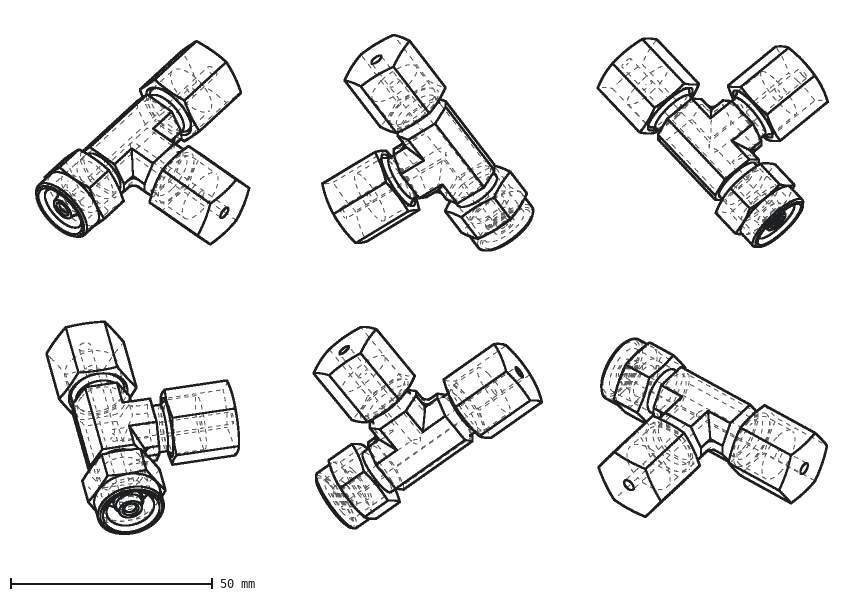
import cadquery as cq
import math


PASSAGE_RADIUS = 1.5

BLOCK_ACROSS_FLATS = 14.0
BLOCK_ACROSS_CUT_EDGES = 14.4
BLOCK_REACH = 11.0
BLOCK_REACH_SWIVEL = 10.55
BLOCK_CORNER_FILLET = 1.85

RELIEF_RADIUS = 5.85
RELIEF_FILLET = 0.5
RUNOUT_START = 13.55
RUNOUT_ANGLE = 30
THREAD_RADIUS = 6.8
THREAD_END = 23.0

NUT_ACROSS_FLATS = 17.0
NUT_FACE_RADIUS = 8.45
NUT_CHAMFER_HEIGHT = 0.35
UNION_NUT_START = 14.5
UNION_NUT_END = 31.0
UNION_NUT_MOUTH_CHAMFER = 0.65
SWIVEL_NUT_START = 13.3
SWIVEL_HEX_END = 21.35
SWIVEL_NUT_END = 26.4
COLLAR_RADIUS = 8.4
COLLAR_CHAMFER = 0.5
SWIVEL_MOUTH_CHAMFER = 1.15

NECK_RADIUS = 6.0
NIPPLE_TIP_RADIUS = 2.85
NIPPLE_TIP = 25.55
CONE_BASE_RADIUS = 4.25
CONE_HALF_ANGLE = 12
CONE_BASE = NIPPLE_TIP - (CONE_BASE_RADIUS - NIPPLE_TIP_RADIUS) / math.tan(math.radians(CONE_HALF_ANGLE))
PASSAGE_CHAMFER = 0.5

RING_CENTRE_RADIUS = 3.05
RING_SECTION_RADIUS = 0.75
RING_STATION = 22.85


def toward_plus_y(shape):
    return shape.rotate((0, 0, 0), (1, 0, 0), -90)


def toward_minus_y(shape):
    return shape.rotate((0, 0, 0), (1, 0, 0), 90)


def toward_plus_x(shape):
    return toward_plus_y(shape).rotate((0, 0, 0), (0, 0, 1), -90)


def turned(profile):
    """Solid of revolution about Z from (radius, height) points."""
    return cq.Workplane("XZ").polyline(profile).close().revolve(360, (0, 0, 0), (0, 1, 0))


def rod(radius, start, end):
    return cq.Workplane("XY").workplane(offset=start).circle(radius).extrude(end - start)


def countersink(radius, chamfer, mouth, outward=1):
    """45 degree cutter that widens a hole at its mouth; outward is +1 or -1 along Z."""
    bottom = mouth - outward * chamfer
    return turned([(0, bottom), (radius, bottom), (radius + chamfer, mouth), (0, mouth)])


def hexagon_bar(across_flats, start, end):
    """Hexagonal bar along Z with its corners on the X axis."""
    corner_diameter = across_flats / math.cos(math.pi / 6)
    return cq.Workplane("XY").workplane(offset=start).polygon(6, corner_diameter).extrude(end - start)


def block_bar(start, end):
    flat_sides = cq.Workplane("XY").workplane(offset=start).rect(BLOCK_ACROSS_CUT_EDGES, BLOCK_ACROSS_FLATS)
    return hexagon_bar(BLOCK_ACROSS_FLATS, start, end).intersect(flat_sides.extrude(end - start))


def chamfered_hexagon(start, end):
    """Nut hexagon whose corners are turned down to a round face at both ends."""
    corner_radius = NUT_ACROSS_FLATS / 2 / math.cos(math.pi / 6)
    envelope = turned([
        (0, start),
        (NUT_FACE_RADIUS, start),
        (corner_radius, start + NUT_CHAMFER_HEIGHT),
        (corner_radius, end - NUT_CHAMFER_HEIGHT),
        (NUT_FACE_RADIUS, end),
        (0, end),
    ])
    return hexagon_bar(NUT_ACROSS_FLATS, start, end).intersect(envelope)


def threaded_end():
    """Relief groove, thread runout cone and thread of one union arm."""
    runout_length = (THREAD_RADIUS - RELIEF_RADIUS) / math.tan(math.radians(RUNOUT_ANGLE))
    arc_step = RELIEF_FILLET * (1 - math.sqrt(0.5))
    profile = (
        cq.Workplane("XZ")
        .moveTo(0, 0)
        .lineTo(RELIEF_RADIUS + RELIEF_FILLET, 0)
        .lineTo(RELIEF_RADIUS + RELIEF_FILLET, BLOCK_REACH)
        .threePointArc(
            (RELIEF_RADIUS + arc_step, BLOCK_REACH + arc_step),
            (RELIEF_RADIUS, BLOCK_REACH + RELIEF_FILLET),
        )
        .lineTo(RELIEF_RADIUS, RUNOUT_START)
        .lineTo(THREAD_RADIUS, RUNOUT_START + runout_length)
        .lineTo(THREAD_RADIUS, THREAD_END)
        .lineTo(0, THREAD_END)
        .close()
    )
    return profile.revolve(360, (0, 0, 0), (0, 1, 0))


def o_ring():
    section = cq.Workplane("XZ").center(RING_CENTRE_RADIUS, RING_STATION).circle(RING_SECTION_RADIUS)
    return section.revolve(360, (-RING_CENTRE_RADIUS, 0, 0), (-RING_CENTRE_RADIUS, 1, 0))


def nipple():
    """Neck and sealing cone, with the groove that seats the O-ring."""
    body = turned([
        (0, 0),
        (NECK_RADIUS, 0),
        (NECK_RADIUS, CONE_BASE),
        (CONE_BASE_RADIUS, CONE_BASE),
        (NIPPLE_TIP_RADIUS, NIPPLE_TIP),
        (0, NIPPLE_TIP),
    ])
    mouth = countersink(PASSAGE_RADIUS, PASSAGE_CHAMFER, NIPPLE_TIP)
    return body.cut(mouth).cut(o_ring())


def corner_web(side):
    """Web with a round inner edge between the narrow cut flats of run and branch; side is +1 or -1 in Y."""
    near = BLOCK_ACROSS_CUT_EDGES / 2
    far = near + BLOCK_CORNER_FILLET
    mid = far - BLOCK_CORNER_FILLET * math.sqrt(0.5)
    flat_height = 2 * BLOCK_ACROSS_FLATS - math.sqrt(3) * BLOCK_ACROSS_CUT_EDGES
    return (
        cq.Workplane("XY")
        .workplane(offset=-flat_height / 2)
        .moveTo(0, 0)
        .lineTo(near, side * far)
        .threePointArc((mid, side * mid), (far, side * near))
        .close()
        .extrude(flat_height)
    )


def tee_block():
    run = toward_plus_y(block_bar(-BLOCK_REACH_SWIVEL, BLOCK_REACH))
    branch = toward_plus_x(block_bar(0, BLOCK_REACH))
    return run.union(branch).union(corner_web(1)).union(corner_web(-1))


def tee_body():
    body = tee_block()
    for place in (toward_plus_y, toward_plus_x):
        body = body.union(place(threaded_end()))
    body = body.union(toward_minus_y(nipple()))
    body = body.cut(toward_plus_y(rod(PASSAGE_RADIUS, -NIPPLE_TIP, THREAD_END)))
    return body.cut(toward_plus_x(rod(PASSAGE_RADIUS, 0, THREAD_END)))


def union_nut():
    """Nut with a thread recess that takes the arm end and a passage through its outer wall."""
    nut = chamfered_hexagon(UNION_NUT_START, UNION_NUT_END)
    nut = nut.cut(rod(THREAD_RADIUS, UNION_NUT_START, THREAD_END))
    nut = nut.cut(countersink(THREAD_RADIUS, UNION_NUT_MOUTH_CHAMFER, UNION_NUT_START, outward=-1))
    return nut.cut(rod(PASSAGE_RADIUS, THREAD_END, UNION_NUT_END))


def swivel_nut():
    """Hexagon and round collar, bored through to fit the neck and widened at the mouth."""
    collar = rod(COLLAR_RADIUS, SWIVEL_HEX_END, SWIVEL_NUT_END).faces(">Z").chamfer(COLLAR_CHAMFER)
    nut = chamfered_hexagon(SWIVEL_NUT_START, SWIVEL_HEX_END).union(collar)
    nut = nut.cut(rod(NECK_RADIUS, SWIVEL_NUT_START, SWIVEL_NUT_END))
    return nut.cut(countersink(NECK_RADIUS, SWIVEL_MOUTH_CHAMFER, SWIVEL_NUT_END))


tee = tee_body()
union_nuts = [place(union_nut()) for place in (toward_plus_y, toward_plus_x)]
front_nut = toward_minus_y(swivel_nut())
seal_ring = toward_minus_y(o_ring())

result = cq.Compound.makeCompound(
    [tee.val(), *(nut.val() for nut in union_nuts), front_nut.val(), seal_ring.val()]
)